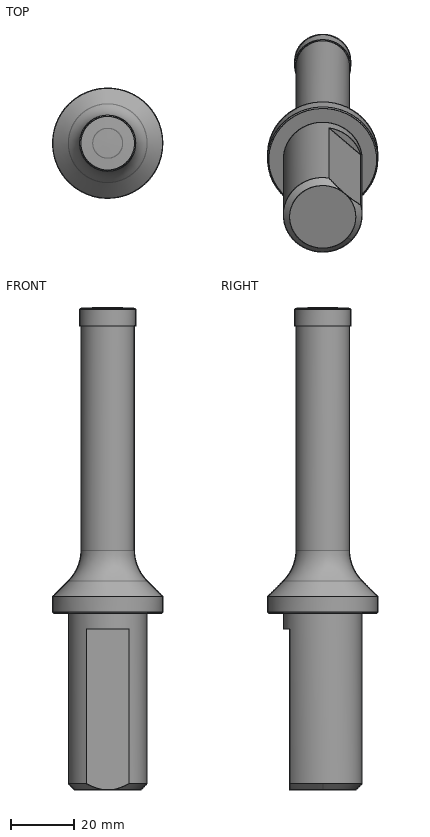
import cadquery as cq
import math

overall_length = 153.0

shank_diameter = 25.0
shank_length = 56.0
shank_chamfer = 2.0
flat_length = 51.0
flat_depth = 2.0

flange_diameter = 35.0
flange_chamfer = 0.4

neck_diameter = 17.0
neck_start = 76.0
cone_angle = math.radians(45)

head_diameter = 17.8
head_length = 5.8
head_chamfer = 0.4
head_inner_diameter = 9.5
head_inner_slope = math.radians(0.9)
head_outer_slope = math.radians(2.6)

shank_radius = shank_diameter / 2
flange_radius = flange_diameter / 2
neck_radius = neck_diameter / 2
head_bottom = overall_length - head_length

fillet_radius = (shank_radius - neck_radius) / (1 - math.cos(cone_angle))
cone_top = neck_start - fillet_radius * math.sin(cone_angle)
flange_top = cone_top - (flange_radius - shank_radius) * math.tan(cone_angle)
fillet_middle = (
    neck_radius + fillet_radius * (1 - math.cos(cone_angle / 2)),
    neck_start - fillet_radius * math.sin(cone_angle / 2),
)


def revolve_about_z(profile):
    """Turn a closed radius-height profile fully about Z."""
    return profile.close().revolve(360, (0, 0), (0, 1))


def make_holder():
    """Shank with a clamping flat, flange, cone, fillet and long neck."""
    turned = revolve_about_z(
        cq.Workplane("XZ")
        .lineTo(shank_radius - shank_chamfer, 0)
        .lineTo(shank_radius, shank_chamfer)
        .lineTo(shank_radius, shank_length)
        .lineTo(flange_radius - flange_chamfer, shank_length)
        .lineTo(flange_radius, shank_length + flange_chamfer)
        .lineTo(flange_radius, flange_top)
        .lineTo(shank_radius, cone_top)
        .threePointArc(fillet_middle, (neck_radius, neck_start))
        .lineTo(neck_radius, head_bottom)
        .lineTo(0, head_bottom)
    )
    flat_cutter = (
        cq.Workplane("XY")
        .box(shank_diameter, flat_depth, flat_length, centered=(True, False, False))
        .translate((0, -shank_radius, 0))
    )
    return turned.cut(flat_cutter)


def make_head():
    """Cutting head whose end rises in two shallow cones to a point on the axis."""
    radius = head_diameter / 2
    inner_radius = head_inner_diameter / 2
    rim_radius = radius - head_chamfer
    inner_height = overall_length - inner_radius * math.tan(head_inner_slope)
    rim_height = inner_height - (rim_radius - inner_radius) * math.tan(head_outer_slope)
    return revolve_about_z(
        cq.Workplane("XZ")
        .moveTo(0, head_bottom)
        .lineTo(radius, head_bottom)
        .lineTo(radius, rim_height - head_chamfer)
        .lineTo(rim_radius, rim_height)
        .lineTo(inner_radius, inner_height)
        .lineTo(0, overall_length)
    )


holder = make_holder()
head = make_head()
result = cq.Compound.makeCompound([holder.val(), head.val()])